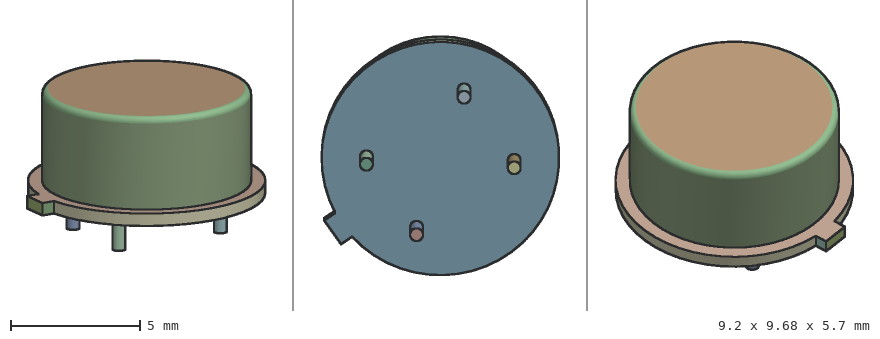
import cadquery as cq

flange_diameter = 9.2
flange_thickness = 0.5
can_diameter = 8.1
can_height = 3.7
can_edge_radius = 0.24
tab_width = 1.14
tab_reach = 5.08
pin_diameter = 0.5
pin_length = 1.5
pin_spacing_x = 3.39
pin_spacing_y = 4.61


def make_flange():
    disc = cq.Workplane("XY").circle(flange_diameter / 2).extrude(flange_thickness)
    tab = (
        cq.Workplane("XY")
        .center(0, -tab_reach / 2)
        .rect(tab_width, tab_reach)
        .extrude(flange_thickness)
    )
    return disc.union(tab)


def make_can():
    can = (
        cq.Workplane("XY")
        .circle(can_diameter / 2)
        .extrude(flange_thickness + can_height)
    )
    return can.faces(">Z").edges().fillet(can_edge_radius)


def make_pins():
    return (
        cq.Workplane("XY")
        .rect(pin_spacing_x, pin_spacing_y, forConstruction=True)
        .vertices()
        .circle(pin_diameter / 2)
        .extrude(-pin_length)
    )


result = make_flange().union(make_can()).union(make_pins())